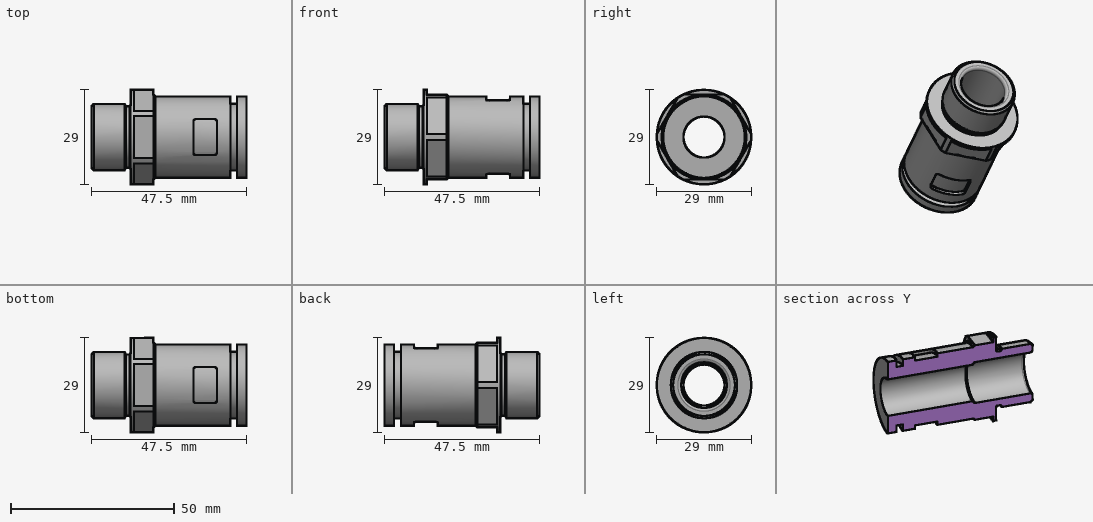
import cadquery as cq
import math

total_length = 47.5
spigot_chamfer_length = 0.75
spigot_length = 10.1
neck_start = 10.55
neck_end = 11.65
flange_start = 11.95
flange_thickness = 1.05
hex_end = 19.0
body_start = 19.55
collar_length = 3.0
groove_width = 2.0

spigot_diameter = 20.4
spigot_end_diameter = 18.9
neck_diameter = 18.9
flange_diameter = 29.0
body_diameter = 25.0
groove_diameter = 20.5
hex_across_flats = 26.0

mouth_radius = 1.0
bore_mouth_diameter = 14.0
bore_exit_diameter = 12.5
bore_seat_start = hex_end

pocket_center_x = 34.8
pocket_length = 7.25
pocket_width = 11.1
pocket_corner_radius = 0.95
pocket_depth = 1.15

flange_end = flange_start + flange_thickness
collar_start = total_length - collar_length
groove_start = collar_start - groove_width


def revolve_about_x(profile):
    """Revolve a closed XY profile about the part axis."""
    return profile.close().revolve(360, (0, 0, 0), (1, 0, 0))


def tube(start, end, inner_diameter, outer_diameter):
    """Ring along X between two stations."""
    return (
        cq.Workplane("YZ", origin=(start, 0, 0))
        .circle(outer_diameter / 2)
        .circle(inner_diameter / 2)
        .extrude(end - start)
    )


def turned_outside():
    """Spigot, undercut neck, flange, body and grooved collar."""
    spigot_radius = spigot_diameter / 2
    neck_radius = neck_diameter / 2
    body_radius = body_diameter / 2
    groove_radius = groove_diameter / 2
    flange_radius = flange_diameter / 2
    profile = (
        cq.Workplane("XY")
        .moveTo(0, 0)
        .lineTo(0, spigot_end_diameter / 2)
        .lineTo(spigot_chamfer_length, spigot_radius)
        .lineTo(spigot_length, spigot_radius)
        .lineTo(neck_start, neck_radius)
        .lineTo(neck_end, neck_radius)
        .lineTo(flange_start, neck_radius + flange_start - neck_end)
        .lineTo(flange_start, flange_radius)
        .lineTo(flange_end, flange_radius)
        .lineTo(flange_end, hex_across_flats / 2)
        .lineTo(hex_end, hex_across_flats / 2)
        .lineTo(body_start, body_radius)
        .lineTo(groove_start, body_radius)
        .lineTo(groove_start, groove_radius)
        .lineTo(collar_start, groove_radius)
        .lineTo(collar_start, body_radius)
        .lineTo(total_length, body_radius)
        .lineTo(total_length, 0)
    )
    return revolve_about_x(profile)


def hexagon():
    """Wrench hexagon with two flats facing up and down, corners turned to the flange diameter."""
    length = hex_end - flange_end
    section = cq.Workplane("YZ", origin=(flange_end, 0, 0))
    corner_diameter = hex_across_flats / math.cos(math.radians(30))
    prism = section.polygon(6, corner_diameter).extrude(length)
    return prism.intersect(section.circle(flange_diameter / 2).extrude(length))


def bore():
    """Through bore with a rounded entry and a conical step."""
    mouth = bore_mouth_diameter / 2
    exit_radius = bore_exit_diameter / 2
    seat_end = bore_seat_start + mouth - exit_radius
    diagonal = mouth_radius * (1 - math.cos(math.radians(45)))
    profile = (
        cq.Workplane("XY")
        .moveTo(0, 0)
        .lineTo(0, mouth + mouth_radius)
        .threePointArc((diagonal, mouth + diagonal), (mouth_radius, mouth))
        .lineTo(bore_seat_start, mouth)
        .lineTo(seat_end, exit_radius)
        .lineTo(total_length, exit_radius)
        .lineTo(total_length, 0)
    )
    return revolve_about_x(profile)


def pockets():
    """Opposed rounded recesses whose floors are concentric with the body."""
    windows = (
        cq.Workplane("XY")
        .center(pocket_center_x, 0)
        .rect(pocket_length, pocket_width)
        .extrude(body_diameter / 2, both=True)
        .edges("|Z")
        .fillet(pocket_corner_radius)
    )
    skin = tube(body_start, groove_start, body_diameter - 2 * pocket_depth, body_diameter)
    return windows.intersect(skin)


result = turned_outside().union(hexagon()).cut(bore()).cut(pockets())